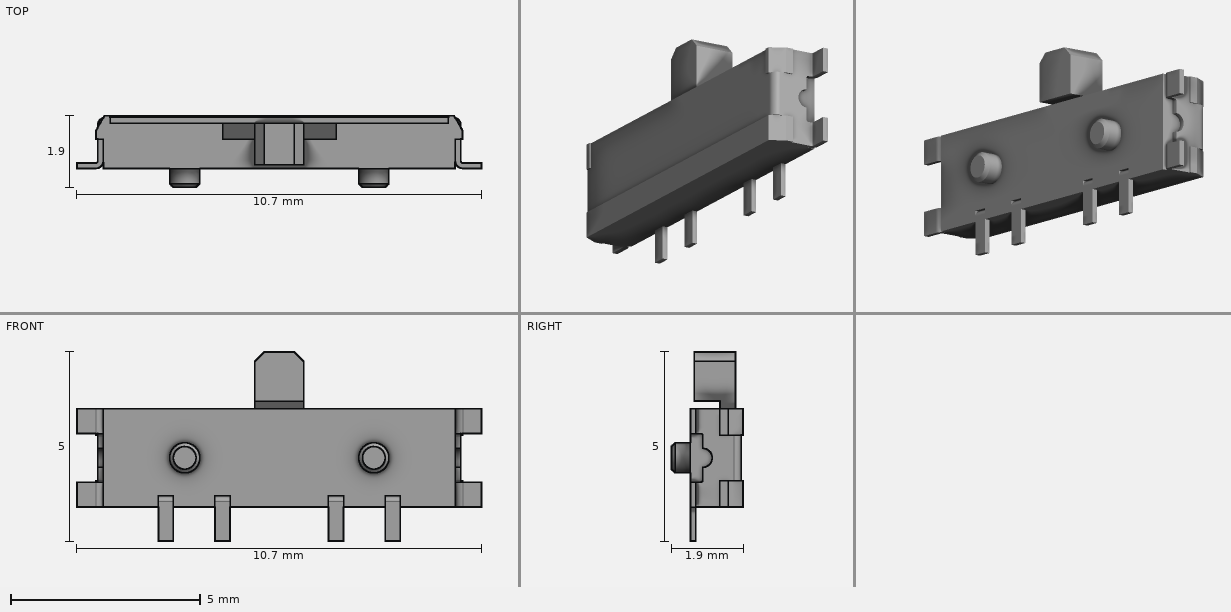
import cadquery as cq


HALF_LENGTH = 4.65
HEIGHT = 2.6
DEPTH = 1.4
MID_HEIGHT = HEIGHT / 2

SHEET = 0.15
COVER_BACK = 1.35
COVER_INNER = COVER_BACK - SHEET
SIDE_OUTER = HALF_LENGTH + SHEET
BACK_BEND_RADIUS = 0.2
PLATE_HALF_LENGTH = 4.47

EAR_HEIGHT = 0.7
EAR_HALF_LENGTH = 4.85
EAR_BACK_HALF_LENGTH = 4.62
EAR_FRONT = 0.78
EAR_BEVEL_START = 1.0

FOOT_TIP = 5.35
FOOT_HEIGHT = 0.66
FOOT_INNER_RADIUS = 0.05
FOOT_OUTER_RADIUS = FOOT_INNER_RADIUS + SHEET
SIDE_EDGE = 0.33
SIDE_NOTCH_RADIUS = 0.25
GAP_CORNER_RADIUS = 0.05

PEG_X = 2.5
PEG_RADIUS = 0.4
PEG_LENGTH = 0.5
PEG_CHAMFER = 0.1

TERMINAL_X = (-3.0, -1.5, 1.5, 3.0)
TERMINAL_WIDTH = 0.4
TERMINAL_TOP = 0.3
TERMINAL_BOTTOM = -0.9
TERMINAL_BEND_RADIUS = SHEET

KNOB_WIDTH = 1.3
KNOB_TOP = HEIGHT + 1.5
KNOB_FRONT = 0.1
KNOB_CHAMFER = 0.25
HEAD_BOTTOM = HEIGHT + 0.2
SLOT_LENGTH = 3.0
SLOT_FRONT = EAR_FRONT
SLOT_FLOOR = 1.6


def box(x_range, y_range, z_range):
    """Box spanning the given (low, high) ranges."""
    size = [high - low for low, high in (x_range, y_range, z_range)]
    corner = (x_range[0], y_range[0], z_range[0])
    return cq.Workplane("XY").box(*size, centered=False).translate(corner)


def centered_box(length, y_range, z_range):
    """Box of the given X length, centred on X = 0."""
    return box((-length / 2, length / 2), y_range, z_range)


def mirrored(right_half):
    """Both the +X feature and its mirror image."""
    return right_half.union(right_half.mirror("YZ"))


def make_rear_block():
    """Rear part of the housing, with full-height bevelled ends."""
    return (
        cq.Workplane("XY")
        .moveTo(-EAR_BACK_HALF_LENGTH, DEPTH)
        .lineTo(-EAR_HALF_LENGTH, EAR_BEVEL_START)
        .lineTo(-EAR_HALF_LENGTH, EAR_FRONT)
        .lineTo(EAR_HALF_LENGTH, EAR_FRONT)
        .lineTo(EAR_HALF_LENGTH, EAR_BEVEL_START)
        .lineTo(EAR_BACK_HALF_LENGTH, DEPTH)
        .close()
        .extrude(HEIGHT)
    )


def cover_channel(back_y, half_length, radius, front_y):
    """Full-height block bounded by one surface of the bent cover."""
    return (
        centered_box(2 * half_length, (front_y, back_y), (0, HEIGHT))
        .edges("|Z and >Y")
        .fillet(radius)
    )


def make_terminal(x):
    """Flat leg whose top front edge is rounded over."""
    return (
        cq.Workplane("YZ")
        .moveTo(0, TERMINAL_BOTTOM)
        .lineTo(SHEET, TERMINAL_BOTTOM)
        .lineTo(SHEET, TERMINAL_TOP)
        .radiusArc((0, TERMINAL_TOP - TERMINAL_BEND_RADIUS), -TERMINAL_BEND_RADIUS)
        .close()
        .extrude(TERMINAL_WIDTH / 2, both=True)
        .translate((x, 0, 0))
    )


def make_cover():
    """Back plate, side walls wrapped around the housing ends, and four outward feet."""
    shell = cover_channel(COVER_BACK, SIDE_OUTER, BACK_BEND_RADIUS, FOOT_OUTER_RADIUS).cut(
        cover_channel(COVER_INNER, HALF_LENGTH, BACK_BEND_RADIUS - SHEET, FOOT_OUTER_RADIUS)
    )

    lower_rail = centered_box(2 * FOOT_TIP, (EAR_FRONT, DEPTH), (0, EAR_HEIGHT))
    upper_ear = box((PLATE_HALF_LENGTH, FOOT_TIP), (EAR_FRONT, DEPTH), (HEIGHT - EAR_HEIGHT, HEIGHT))
    shell = shell.cut(lower_rail).cut(mirrored(upper_ear))

    bend_x = HALF_LENGTH + FOOT_OUTER_RADIUS
    feet = (
        cq.Workplane("XY")
        .moveTo(HALF_LENGTH, FOOT_OUTER_RADIUS)
        .radiusArc((bend_x, 0), -FOOT_OUTER_RADIUS)
        .lineTo(FOOT_TIP, 0)
        .lineTo(FOOT_TIP, SHEET)
        .lineTo(bend_x, SHEET)
        .radiusArc((SIDE_OUTER, FOOT_OUTER_RADIUS), FOOT_INNER_RADIUS)
        .close()
        .extrude(HEIGHT)
    )
    cover = shell.union(mirrored(feet))

    gap = box((HALF_LENGTH, FOOT_TIP), (0, SIDE_EDGE), (FOOT_HEIGHT, HEIGHT - FOOT_HEIGHT))
    gap = gap.edges("|X and >Y").fillet(GAP_CORNER_RADIUS)
    notch = (
        cq.Workplane("YZ", origin=(HALF_LENGTH, SIDE_EDGE, MID_HEIGHT))
        .circle(SIDE_NOTCH_RADIUS)
        .extrude(SHEET)
    )
    return cover.cut(mirrored(gap.union(notch)))


def make_pegs():
    """Two chamfered pegs on the mounting face."""
    return (
        cq.Workplane("XZ")
        .pushPoints([(-PEG_X, MID_HEIGHT), (PEG_X, MID_HEIGHT)])
        .circle(PEG_RADIUS)
        .extrude(PEG_LENGTH)
        .faces("<Y")
        .chamfer(PEG_CHAMFER)
    )


def make_housing():
    """Moulded body with ears, pegs, knob slot and seats for the cover and terminals."""
    housing = centered_box(2 * HALF_LENGTH, (0, EAR_FRONT), (0, HEIGHT))
    housing = housing.union(make_rear_block()).union(make_pegs())

    housing = housing.cut(
        centered_box(2 * PLATE_HALF_LENGTH, (COVER_INNER, DEPTH), (EAR_HEIGHT, HEIGHT))
    )
    band = centered_box(2 * FOOT_TIP, (EAR_FRONT, DEPTH), (EAR_HEIGHT, HEIGHT - EAR_HEIGHT))
    core = cover_channel(COVER_INNER, HALF_LENGTH, BACK_BEND_RADIUS - SHEET, 0)
    housing = housing.cut(band.cut(core))

    slot = centered_box(SLOT_LENGTH, (SLOT_FRONT, COVER_INNER), (SLOT_FLOOR, HEIGHT))
    housing = housing.cut(slot)
    terminal_seat = centered_box(TERMINAL_WIDTH, (0, SHEET), (0, TERMINAL_TOP))
    for x in TERMINAL_X:
        housing = housing.cut(terminal_seat.translate((x, 0, 0)))
    return housing


def make_knob():
    """Actuator with a chamfered head overhanging its stem."""
    head = centered_box(KNOB_WIDTH, (KNOB_FRONT, COVER_INNER), (HEAD_BOTTOM, KNOB_TOP))
    head = head.edges("|Y and >Z").chamfer(KNOB_CHAMFER)
    stem = centered_box(KNOB_WIDTH, (SLOT_FRONT, COVER_INNER), (SLOT_FLOOR, HEAD_BOTTOM))
    return head.union(stem)


housing = make_housing()
cover = make_cover()
knob = make_knob()
terminals = [make_terminal(x) for x in TERMINAL_X]

bodies = [housing, cover, knob, *terminals]
result = cq.Compound.makeCompound([body.solids().val() for body in bodies])